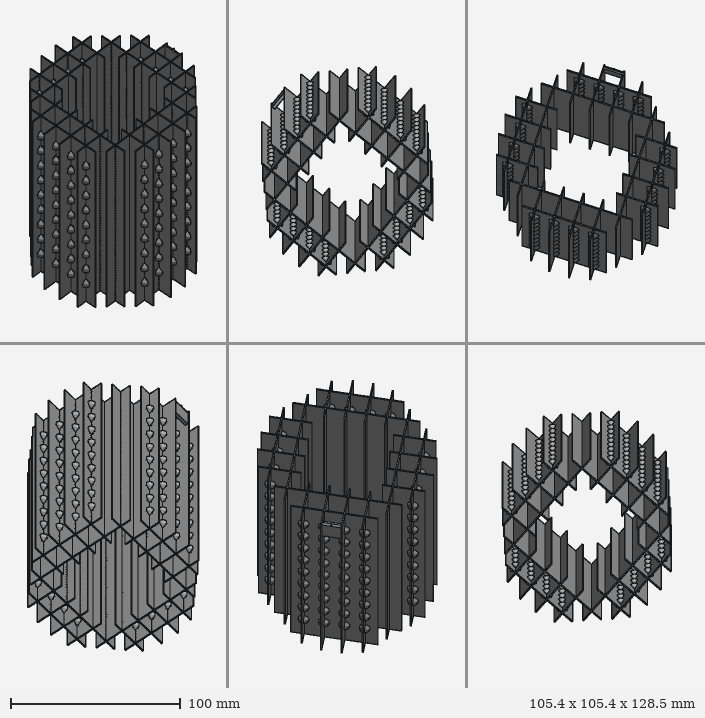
import cadquery as cq
import math

OVERALL_WIDTH = 105.36
HEIGHT = 128.48
PITCH = 12.2
PLATE_THICKNESS = 0.75

BEAD_RADIUS = 3.3
BEADS_PER_COLUMN = 9
COLUMNS_PER_SIDE = 4

INNER_PLATE_OFFSET = 2.5 * PITCH
INNER_PLATE_LENGTH = 76.2
OUTER_PLATE_OFFSET = 3.5 * PITCH
OUTER_PLATE_LENGTH = 52.2

RADIAL_INNER_END = 2 * PITCH
MIDDLE_RADIAL_END = OVERALL_WIDTH / 2
EDGE_RADIAL_END = 49.9

TAB_INNER_FACE = 50.25
TAB_THICKNESS = 1.0
TAB_HEIGHT = PITCH
LEDGE_THICKNESS = 1.0
BEVEL_ANGLE = 52
RIB_WIDTH = 0.5

SIDES = 4
QUARTER_TURN = 360 / SIDES


def centred_steps(count):
    """Positions one pitch apart, spread evenly about zero."""
    return [(i - (count - 1) / 2) * PITCH for i in range(count)]


def side_plate(length, offset):
    """Upright plate along X at a distance from the axis towards +Y."""
    return cq.Workplane("XY").box(length, PLATE_THICKNESS, HEIGHT).translate((0, offset, 0)).val()


def radial_plate(x):
    """Upright plate along Y; the two middle ones reach further out than the edge ones."""
    outer_end = MIDDLE_RADIAL_END if abs(x) < PITCH else EDGE_RADIAL_END
    length = outer_end - RADIAL_INNER_END
    middle = (RADIAL_INNER_END + outer_end) / 2
    return cq.Workplane("XY").box(PLATE_THICKNESS, length, HEIGHT).translate((x, middle, 0)).val()


def bead_column(x):
    """Vertical row of beads on the crossing of a radial plate and the outer plate."""
    bead = cq.Workplane("XY").sphere(BEAD_RADIUS).val()
    return [bead.translate(cq.Vector(x, OUTER_PLATE_OFFSET, z)) for z in centred_steps(BEADS_PER_COLUMN)]


def lattice_side():
    """Outer plate, radial plates and beads of the +Y side."""
    parts = []
    for x in centred_steps(COLUMNS_PER_SIDE):
        parts.append(radial_plate(x))
        parts.extend(bead_column(x))
    return side_plate(OUTER_PLATE_LENGTH, OUTER_PLATE_OFFSET).fuse(*parts)


def tab():
    """Tab whose +Y face carries a bevelled ledge with a thin rib up its middle."""
    top = HEIGHT / 2
    bottom = top - TAB_HEIGHT
    ledge_face = TAB_INNER_FACE + TAB_THICKNESS
    outer_face = ledge_face + LEDGE_THICKNESS
    bevel_drop = LEDGE_THICKNESS * math.tan(math.radians(BEVEL_ANGLE))
    outline = [
        (TAB_INNER_FACE, bottom),
        (outer_face, bottom),
        (outer_face, top - bevel_drop),
        (ledge_face, top),
        (TAB_INNER_FACE, top),
    ]
    bevelled = cq.Workplane("YZ").polyline(outline).close().extrude(PITCH / 2, both=True)
    rib = cq.Workplane("XY").box(RIB_WIDTH, LEDGE_THICKNESS, TAB_HEIGHT)
    rib = rib.translate((0, ledge_face + LEDGE_THICKNESS / 2, top - TAB_HEIGHT / 2))
    return bevelled.union(rib).val()


def turned_copies(shape):
    """The shape repeated on all four sides of the Z axis."""
    axis_start = cq.Vector(0, 0, 0)
    axis_end = cq.Vector(0, 0, 1)
    return [shape.rotate(axis_start, axis_end, i * QUARTER_TURN) for i in range(SIDES)]


inner_plates = turned_copies(side_plate(INNER_PLATE_LENGTH, INNER_PLATE_OFFSET))
bead_sides = turned_copies(lattice_side())
body = inner_plates[0].fuse(*inner_plates[1:], *bead_sides, tab())
result = cq.Workplane("XY").newObject(body.clean().Solids())